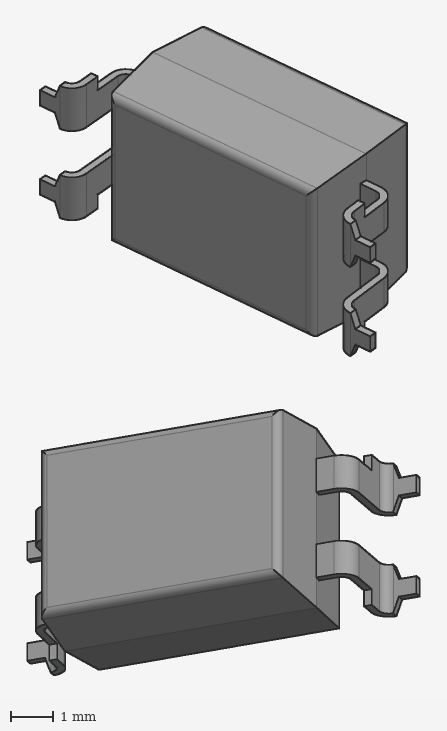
import cadquery as cq
import math

HOUSING_LENGTH = 6.5
HOUSING_HEIGHT = 4.6
HALF_DEPTH = 1.84
DRAFT_ANGLE = 5.0
HOUSING_FILLET = 0.2

LEAD_SPAN = 10.05
STRIP_THICKNESS = 0.2
BEND_OUTER_RADIUS = 0.45
BEND_INNER_RADIUS = BEND_OUTER_RADIUS - STRIP_THICKNESS
FOOT_DEPTH = 2.04
FOOT_LENGTH = 0.6
LEG_SLANT_ANGLE = 1.0
LEAD_INNER_Z = 0.67
NECK_WIDTH = 0.85
WIDE_WIDTH = 1.26
TIP_WIDTH = 0.45
TIP_LENGTH = 0.45
SHOULDER_DEPTH = 1.18

TIP_X = LEAD_SPAN / 2
LOWER_BEND_X = TIP_X - FOOT_LENGTH
LOWER_BEND_Y = -FOOT_DEPTH + BEND_OUTER_RADIUS
UPPER_BEND_Y = -BEND_OUTER_RADIUS
LEG_SLANT = math.radians(LEG_SLANT_ANGLE)
LEG_RUN = (UPPER_BEND_Y - LOWER_BEND_Y) * math.sin(LEG_SLANT)
UPPER_BEND_X = LOWER_BEND_X - (BEND_OUTER_RADIUS + BEND_INNER_RADIUS + LEG_RUN) / math.cos(LEG_SLANT)
WIDE_OUTER_Z = LEAD_INNER_Z + WIDE_WIDTH
TIP_OUTER_Z = LEAD_INNER_Z + (WIDE_WIDTH + TIP_WIDTH) / 2
TIP_INNER_Z = TIP_OUTER_Z - TIP_WIDTH


def make_housing():
    """Block drafted both ways from Y = 0, with rounded front and back rims."""
    section = cq.Workplane("XZ").rect(HOUSING_LENGTH, HOUSING_HEIGHT)
    front = section.extrude(HALF_DEPTH, taper=DRAFT_ANGLE)
    back = front.mirror("XZ")
    block = front.union(back, clean=False)
    return block.faces("<Y or >Y").edges().fillet(HOUSING_FILLET)


def bend_point(center_x, center_y, radius, angle):
    """Point on a bend at an angle in radians, measured from +X."""
    return (center_x + radius * math.cos(angle), center_y + radius * math.sin(angle))


def upper_bend(radius, angle):
    return bend_point(UPPER_BEND_X, UPPER_BEND_Y, radius, angle)


def lower_bend(radius, angle):
    return bend_point(LOWER_BEND_X, LOWER_BEND_Y, radius, angle + math.pi)


def bent_strip():
    """Side profile of a +X lead in the XY plane, extruded over the full width."""
    foot_top_y = -FOOT_DEPTH + STRIP_THICKNESS
    leg_angle = LEG_SLANT
    flat_angle = math.pi / 2
    middle_angle = (leg_angle + flat_angle) / 2
    profile = (
        cq.Workplane("XY", origin=(0, 0, LEAD_INNER_Z))
        .moveTo(0, 0)
        .lineTo(UPPER_BEND_X, 0)
        .threePointArc(upper_bend(BEND_OUTER_RADIUS, middle_angle), upper_bend(BEND_OUTER_RADIUS, leg_angle))
        .lineTo(*lower_bend(BEND_INNER_RADIUS, leg_angle))
        .threePointArc(lower_bend(BEND_INNER_RADIUS, middle_angle), lower_bend(BEND_INNER_RADIUS, flat_angle))
        .lineTo(TIP_X, foot_top_y)
        .lineTo(TIP_X, -FOOT_DEPTH)
        .lineTo(LOWER_BEND_X, -FOOT_DEPTH)
        .threePointArc(lower_bend(BEND_OUTER_RADIUS, middle_angle), lower_bend(BEND_OUTER_RADIUS, leg_angle))
        .lineTo(*upper_bend(BEND_INNER_RADIUS, leg_angle))
        .threePointArc(upper_bend(BEND_INNER_RADIUS, middle_angle), upper_bend(BEND_INNER_RADIUS, flat_angle))
        .lineTo(0, -STRIP_THICKNESS)
        .close()
    )
    return profile.extrude(WIDE_WIDTH)


def neck_envelope():
    """Keeps the narrow part of the strip, above the shoulder."""
    return cq.Workplane("XY").box(TIP_X, SHOULDER_DEPTH, NECK_WIDTH, centered=False).translate(
        (0, -SHOULDER_DEPTH, LEAD_INNER_Z)
    )


def foot_envelope():
    """Keeps the wide part of the leg and the foot, which tapers down to the tip."""
    tip_root_x = TIP_X - TIP_LENGTH
    outline = [
        (0, LEAD_INNER_Z),
        (LOWER_BEND_X, LEAD_INNER_Z),
        (tip_root_x, TIP_INNER_Z),
        (TIP_X, TIP_INNER_Z),
        (TIP_X, TIP_OUTER_Z),
        (tip_root_x, TIP_OUTER_Z),
        (LOWER_BEND_X, WIDE_OUTER_Z),
        (0, WIDE_OUTER_Z),
    ]
    return (
        cq.Workplane("XZ", origin=(0, -SHOULDER_DEPTH, 0))
        .polyline(outline)
        .close()
        .extrude(FOOT_DEPTH - SHOULDER_DEPTH)
    )


def make_lead(housing):
    """Lead at +X, +Z, ending flush against the drafted end of the housing."""
    strip = bent_strip()
    envelope = neck_envelope().union(foot_envelope())
    return strip.intersect(envelope).cut(housing)


housing = make_housing()
lead = make_lead(housing)

leads = []
for right_lead in (lead, lead.mirror("XY")):
    leads.append(right_lead.val())
    leads.append(right_lead.mirror("YZ").val())

result = cq.Compound.makeCompound([housing.val(), *leads])